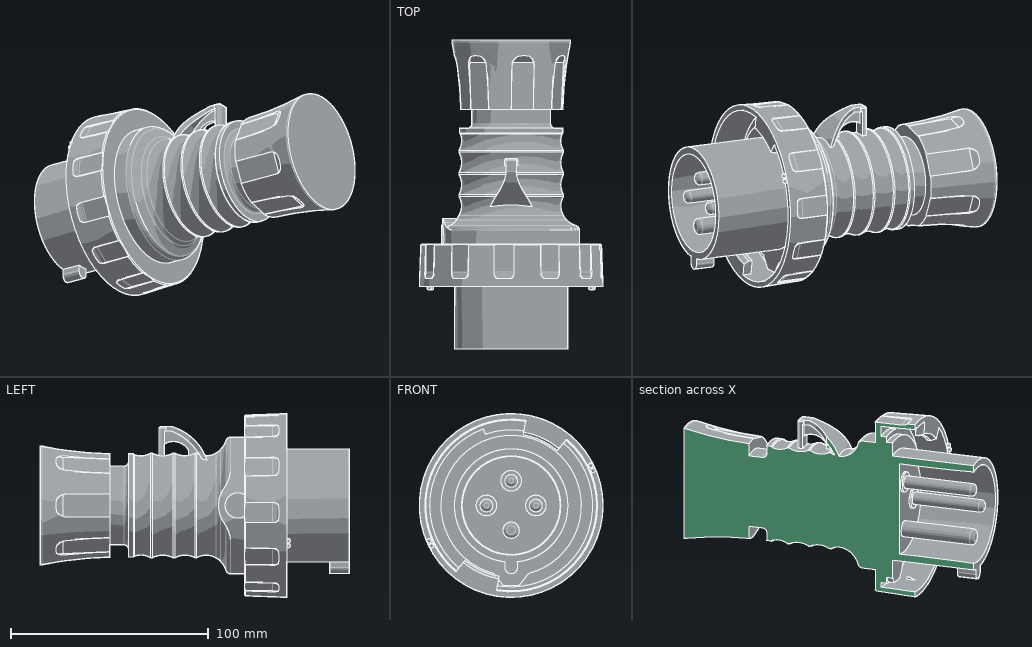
import cadquery as cq
import math

TOTAL_LENGTH = 156.5

FLOOR_Y = 40.0
RING_FRONT_Y = 31.6
RING_BACK_Y = 53.2
FLANGE_BACK_Y = 60.2
GRIP_START_Y = 67.5
COLLAR_BACK_Y = 111.8
NUT_FRONT_Y = 121.2

SLEEVE_R = 28.7
BORE_R = 25.1
BORE_FLOOR_R = 24.8
KEY_WIDTH = 6.4
KEY_TIP_R = 34.5
KEY_LENGTH = 10.0

PIN_CIRCLE_R = 12.5
PHASE_PIN_R = 3.2
EARTH_PIN_R = 4.1
PHASE_TIP_R = 1.2
EARTH_TIP_R = 2.2
PIN_TIP_Y = 1.3
PIN_COLLAR_R = 5.2
PIN_COLLAR_HEIGHT = 1.0

RING_R = 46.54
RING_BACK_R = 45.8
RING_CHAMFER = 0.6
RING_MOUTH_R = 43.7
RING_WALL_R = 43.2
RECESS_FLOOR_Y = 50.0
RING_GROOVES = 12
RING_GROOVE_ANGLE = 4.5
RING_GROOVE_WIDTH = 10.2
RING_GROOVE_DEPTH = 1.2
RING_GROOVE_SETBACK = 3.8
RING_GROOVE_RAMP = 3.6
RING_GROOVE_SAG = 0.3
RING_GROOVE_CORNER = 3.0

LUG_START = 50.0
LUG_END = 80.3
LUG_OVERLAP = 0.5
LUG_R = 37.6
LUG_BACK_R = 36.3
LUG_BEVEL = 2.8
LUG_THICKNESS = 4.5
PIP_ANGLE = 25.0
PIP_CIRCLE_R = 45.1
PIP_R = 1.1
PIP_SPACING = 2.8
PIP_HEIGHT = 1.7

BAYONET_R = 41.2
BAYONET_FRONT_Y = 47.0
NOTCH_R = 38.3
NOTCH_END = 110.0
DISC_R = 35.5
DISC_FRONT_Y = 43.8
TAB_REACH = 40.5
TAB_TIP_HALF = 4.0
TAB_ROOT_HALF = 8.8

FLANGE_R = 34.65
SHOULDER_ROUND = (34.1, 61.6)
SHOULDER_EDGE = (33.0, 62.5)
SHOULDER_SWEEP = (30.4, 63.6)
SHOULDER_FOOT = (28.3, 65.3)
GRIP_BLEND = (27.3, 66.3)
GRIP_START_R = 26.6
VALLEY_R = 25.2
RIB_R = 26.5
RIB_YS = (77.7, 88.8, 100.1)
RIB_TOP = 0.9
COLLAR_R = 26.2
COLLAR_LENGTH = 3.0
COLLAR_BEVEL = 0.5
NECK_R = 20.0
NECK_FILLET = 2.2

LOBE_TIP_Y = 66.2
LOBE_HALF_WIDTH = 17.0
LOBE_SHOULDER = 8.0
LOBE_SHOULDER_Y = 64.0
LOBE_FLARE = 12.0
LOBE_FLARE_Y = 61.6
BADGE_R = 6.4
BADGE_Y = 56.5
BADGE_X = 35.2

HOOK_BACK_Y = 96.4
HOOK_TOP_Z = 40.0
HOOK_TOE_Y = 72.1
HOOK_TOE_Z = 23.1
HOOK_CURVE_START_Y = 90.0
HOOK_CURVE_MIDDLE = (80.0, 34.6)
HOOK_EDGE_BEVEL = 0.7
HOOK_STRAP = 2.4
HOOK_LEG = 2.8
HOOK_HALF_WIDTH = 2.8
HOOK_HEAD_HALF_WIDTH = 3.4
HOOK_HEAD_LENGTH = 3.5
HOOK_HEAD_FILLET = 1.2
HOOK_TOE_HALF_WIDTH = 10.6
HOOK_WEB = 2.0
HOOK_FLANK = [(3.0, 87.0), (5.2, 81.5), (8.6, 76.0), (HOOK_TOE_HALF_WIDTH, HOOK_TOE_Y)]
WINDOW_FRONT_Y = 81.5
WINDOW_FRONT_Z = 28.0
WINDOW_BACK_Z = 31.0
WINDOW_CROWN = (89.0, 32.3)

NUT_FRONT_R = 26.2
NUT_BACK_R = 30.1
NUT_FLARE_MIDDLE = (27.3, 138.0)
NUT_BAND = 1.0
NUT_GROOVE_LIP = 1.0
CUT_MARGIN = 1.0
NUT_GROOVES = 7
NUT_GROOVE_WIDTH = 11.5
NUT_GROOVE_END_Y = 149.0
NUT_GROOVE_RAMP_Y = 145.0
NUT_FLOOR_FRONT_R = 25.3
NUT_FLOOR_BACK_R = 26.6


def revolve_y(profile):
    """Revolve a closed (radius, y) profile about the Y axis."""
    return profile.close().revolve(360, (0, 0, 0), (0, 1, 0))


def disc_y(radius, start, end):
    """Cylinder on the Y axis between two stations."""
    return cq.Workplane("XZ", origin=(0, start, 0)).circle(radius).extrude(start - end)


def turn_y(body, angle):
    """Turn a body about Y so that +X moves toward +Z for positive angles."""
    return body.rotate((0, 0, 0), (0, 1, 0), -angle)


def polar(radius, angle):
    """(x, z) of a point given by its radius and angle from +X toward +Z."""
    return radius * math.cos(math.radians(angle)), radius * math.sin(math.radians(angle))


def sector(inner_r, outer_r, start_angle, end_angle, front, back):
    """Ring segment about Y between two angles and two stations."""
    middle = (start_angle + end_angle) / 2
    sketch = cq.Workplane("XZ", origin=(0, front, 0)).moveTo(*polar(inner_r, start_angle))
    sketch = sketch.lineTo(*polar(outer_r, start_angle))
    sketch = sketch.threePointArc(polar(outer_r, middle), polar(outer_r, end_angle))
    sketch = sketch.lineTo(*polar(inner_r, end_angle))
    sketch = sketch.threePointArc(polar(inner_r, middle), polar(inner_r, start_angle))
    return sketch.close().extrude(front - back)


def housing():
    """Flange, ribbed grip, collar and neck as one revolved body."""
    profile = (
        cq.Workplane("XY")
        .moveTo(0, FLOOR_Y)
        .lineTo(SLEEVE_R, FLOOR_Y)
        .lineTo(SLEEVE_R, RECESS_FLOOR_Y)
        .lineTo(FLANGE_R, RECESS_FLOOR_Y)
        .lineTo(FLANGE_R, FLANGE_BACK_Y)
        .threePointArc(SHOULDER_ROUND, SHOULDER_EDGE)
        .threePointArc(SHOULDER_SWEEP, SHOULDER_FOOT)
        .threePointArc(GRIP_BLEND, (GRIP_START_R, GRIP_START_Y))
    )
    valley_start = GRIP_START_Y
    for rib_y in RIB_YS:
        rib_start = rib_y - RIB_TOP / 2
        rib_end = rib_y + RIB_TOP / 2
        middle = (valley_start + rib_start) / 2
        profile = profile.threePointArc((VALLEY_R, middle), (RIB_R, rib_start))
        profile = profile.lineTo(RIB_R, rib_end)
        valley_start = rib_end
    collar_start = COLLAR_BACK_Y - COLLAR_LENGTH
    middle = (valley_start + collar_start) / 2
    fillet_sag = NECK_FILLET * (1 - math.sqrt(0.5))
    profile = (
        profile.threePointArc((VALLEY_R, middle), (COLLAR_R - COLLAR_BEVEL, collar_start))
        .lineTo(COLLAR_R, collar_start + COLLAR_BEVEL)
        .lineTo(COLLAR_R, COLLAR_BACK_Y)
        .lineTo(NECK_R + NECK_FILLET, COLLAR_BACK_Y)
        .threePointArc(
            (NECK_R + fillet_sag, COLLAR_BACK_Y + fillet_sag),
            (NECK_R, COLLAR_BACK_Y + NECK_FILLET),
        )
        .lineTo(NECK_R, NUT_FRONT_Y)
        .lineTo(0, NUT_FRONT_Y)
    )
    return revolve_y(profile)


def flange_lobe():
    """Bell-shaped rearward extension of the flange at -X with a flat round badge."""
    plan = (
        cq.Workplane("YZ")
        .moveTo(RING_BACK_Y, -LOBE_HALF_WIDTH)
        .lineTo(FLANGE_BACK_Y, -LOBE_HALF_WIDTH)
        .threePointArc((LOBE_FLARE_Y, -LOBE_FLARE), (LOBE_SHOULDER_Y, -LOBE_SHOULDER))
        .threePointArc((LOBE_TIP_Y, 0), (LOBE_SHOULDER_Y, LOBE_SHOULDER))
        .threePointArc((LOBE_FLARE_Y, LOBE_FLARE), (FLANGE_BACK_Y, LOBE_HALF_WIDTH))
        .lineTo(RING_BACK_Y, LOBE_HALF_WIDTH)
        .close()
        .extrude(-BADGE_X)
    )
    lobe = plan.intersect(disc_y(FLANGE_R, RING_BACK_Y, LOBE_TIP_Y))
    badge = cq.Workplane("YZ").center(BADGE_Y, 0).circle(BADGE_R).extrude(-BADGE_X)
    return lobe.union(badge)


def contact_sleeve():
    """Open sleeve with a slightly tapered bore and a round-tipped key at -Z."""
    sleeve = disc_y(SLEEVE_R, 0, RECESS_FLOOR_Y)
    key_tip_center = KEY_TIP_R - KEY_WIDTH / 2
    key = (
        cq.Workplane("XZ")
        .moveTo(-KEY_WIDTH / 2, 0)
        .lineTo(-KEY_WIDTH / 2, -key_tip_center)
        .threePointArc((0, -KEY_TIP_R), (KEY_WIDTH / 2, -key_tip_center))
        .lineTo(KEY_WIDTH / 2, 0)
        .close()
        .extrude(-KEY_LENGTH)
    )
    bore = revolve_y(
        cq.Workplane("XY")
        .moveTo(0, 0)
        .lineTo(BORE_R, 0)
        .lineTo(BORE_FLOOR_R, FLOOR_Y)
        .lineTo(0, FLOOR_Y)
    )
    return sleeve.union(key).cut(bore)


def contact_pin(radius, tip_r):
    """Round-nosed pin along Y."""
    nose = radius - tip_r
    bulge = nose * math.sqrt(0.5)
    return revolve_y(
        cq.Workplane("XY")
        .moveTo(0, PIN_TIP_Y)
        .lineTo(tip_r, PIN_TIP_Y)
        .threePointArc((tip_r + bulge, PIN_TIP_Y + nose - bulge), (radius, PIN_TIP_Y + nose))
        .lineTo(radius, FLOOR_Y)
        .lineTo(0, FLOOR_Y)
    )


def contacts():
    """Three collared phase pins and one larger earth pin at -Z."""
    collar = disc_y(PIN_COLLAR_R, FLOOR_Y - PIN_COLLAR_HEIGHT, FLOOR_Y)
    phase_pin = contact_pin(PHASE_PIN_R, PHASE_TIP_R).union(collar)
    pins = contact_pin(EARTH_PIN_R, EARTH_TIP_R).translate((0, 0, -PIN_CIRCLE_R))
    for angle in (0, 90, 180):
        x, z = polar(PIN_CIRCLE_R, angle)
        pins = pins.union(phase_pin.translate((x, 0, z)))
    return pins


def bayonet_flange():
    """Disc behind the lugs with a shallow rim notch that starts at a lug's end."""
    flange = disc_y(BAYONET_R, BAYONET_FRONT_Y, RECESS_FLOOR_Y)
    notch = sector(NOTCH_R, RING_WALL_R, LUG_END, NOTCH_END, BAYONET_FRONT_Y, RECESS_FLOOR_Y)
    return flange.cut(notch)


def sealing_disc():
    """Disc around the sleeve with a tapered tab at -Z."""
    disc = disc_y(DISC_R, DISC_FRONT_Y, BAYONET_FRONT_Y)
    tab = (
        cq.Workplane("XZ", origin=(0, DISC_FRONT_Y, 0))
        .polyline([
            (-TAB_ROOT_HALF, 0),
            (-TAB_ROOT_HALF, -math.sqrt(DISC_R**2 - TAB_ROOT_HALF**2)),
            (-TAB_TIP_HALF, -TAB_REACH),
            (TAB_TIP_HALF, -TAB_REACH),
            (TAB_ROOT_HALF, -math.sqrt(DISC_R**2 - TAB_ROOT_HALF**2)),
            (TAB_ROOT_HALF, 0),
        ])
        .close()
        .extrude(DISC_FRONT_Y - BAYONET_FRONT_Y)
    )
    return disc.union(tab)


def ring_groove():
    """Cutter for one finger groove at +X, ramping out before the ring front."""
    length = RING_BACK_Y - RING_FRONT_Y
    floor_x = RING_R - RING_GROOVE_DEPTH
    end_y = RING_FRONT_Y + RING_GROOVE_SETBACK
    side = (
        cq.Workplane("XY")
        .moveTo(RING_R + CUT_MARGIN, end_y)
        .lineTo(RING_R, end_y)
        .threePointArc(
            (floor_x + RING_GROOVE_SAG, end_y + RING_GROOVE_RAMP / 2),
            (floor_x, end_y + RING_GROOVE_RAMP),
        )
        .lineTo(floor_x, RING_BACK_Y)
        .lineTo(RING_R + CUT_MARGIN, RING_BACK_Y)
        .close()
        .extrude(RING_GROOVE_WIDTH / 2, both=True)
    )
    plan = (
        cq.Workplane("YZ")
        .center(end_y + length / 2, 0)
        .rect(length, RING_GROOVE_WIDTH)
        .extrude(2 * RING_R)
        .edges("|X and <Y")
        .fillet(RING_GROOVE_CORNER)
    )
    return side.intersect(plan)


def bayonet_lug():
    """Inward lug flush with the ring front; its inner face tapers toward the axis."""
    back_y = RING_FRONT_Y + LUG_THICKNESS
    lug = sector(LUG_BACK_R, RING_MOUTH_R + LUG_OVERLAP, LUG_START, LUG_END, RING_FRONT_Y, back_y)
    relief = revolve_y(
        cq.Workplane("XY")
        .moveTo(0, RING_FRONT_Y)
        .lineTo(LUG_R, RING_FRONT_Y)
        .lineTo(LUG_BACK_R, RING_FRONT_Y + LUG_BEVEL)
        .lineTo(0, RING_FRONT_Y + LUG_BEVEL)
    )
    return lug.cut(relief)


def index_pips():
    """Pair of small round-topped studs on the ring front at PIP_ANGLE."""
    straight = PIP_HEIGHT - PIP_R
    pips = cq.Workplane("XY")
    for side in (-1, 1):
        position = (PIP_CIRCLE_R, RING_FRONT_Y - straight, side * PIP_SPACING / 2)
        stem = cq.Workplane("XZ", origin=position).circle(PIP_R).extrude(-straight)
        pips = pips.union(stem).union(cq.Workplane("XY", origin=position).sphere(PIP_R))
    return turn_y(pips, PIP_ANGLE)


def locking_ring():
    """Bayonet ring with finger grooves, two lugs and two pairs of pips."""
    ring = revolve_y(
        cq.Workplane("XY")
        .moveTo(SLEEVE_R, RECESS_FLOOR_Y)
        .lineTo(RING_WALL_R, RECESS_FLOOR_Y)
        .lineTo(RING_MOUTH_R, RING_FRONT_Y)
        .lineTo(RING_R, RING_FRONT_Y)
        .lineTo(RING_BACK_R, RING_BACK_Y - RING_CHAMFER)
        .lineTo(RING_BACK_R - RING_CHAMFER, RING_BACK_Y)
        .lineTo(SLEEVE_R, RING_BACK_Y)
    )
    groove = ring_groove()
    for index in range(RING_GROOVES):
        ring = ring.cut(turn_y(groove, RING_GROOVE_ANGLE + index * 360 / RING_GROOVES))
    lug = bayonet_lug()
    pips = index_pips()
    for angle in (0, 180):
        ring = ring.union(turn_y(lug, angle)).union(turn_y(pips, angle))
    return ring


def hook_side(inset):
    """Area under the hook's outer curve, offset inward, as a full-width YZ slab."""
    back = HOOK_BACK_Y - (HOOK_LEG if inset else 0)
    middle_y, middle_z = HOOK_CURVE_MIDDLE
    return (
        cq.Workplane("YZ")
        .moveTo(back, 0)
        .lineTo(back, HOOK_TOP_Z - inset)
        .lineTo(HOOK_CURVE_START_Y, HOOK_TOP_Z - inset)
        .threePointArc((middle_y + inset / 2, middle_z - inset), (HOOK_TOE_Y + inset, HOOK_TOE_Z))
        .lineTo(HOOK_TOE_Y + inset, 0)
        .close()
        .extrude(HOOK_TOE_HALF_WIDTH, both=True)
    )


def hook():
    """Strap that widens toward its toe, with a back leg and a pierced web below."""
    head_y = HOOK_BACK_Y - HOOK_HEAD_LENGTH
    mirrored = [(-x, y) for x, y in reversed(HOOK_FLANK)]
    plan = (
        cq.Workplane("XY", origin=(0, 0, HOOK_TOE_Z))
        .moveTo(-HOOK_HEAD_HALF_WIDTH, HOOK_BACK_Y)
        .lineTo(HOOK_HEAD_HALF_WIDTH, HOOK_BACK_Y)
        .lineTo(HOOK_HEAD_HALF_WIDTH, head_y)
        .lineTo(HOOK_HALF_WIDTH, head_y)
        .spline(HOOK_FLANK, includeCurrent=True)
        .lineTo(*mirrored[0])
        .spline(mirrored[1:] + [(-HOOK_HALF_WIDTH, head_y)], includeCurrent=True)
        .lineTo(-HOOK_HEAD_HALF_WIDTH, head_y)
        .close()
        .extrude(HOOK_TOP_Z)
        .edges("|Z and >Y")
        .fillet(HOOK_HEAD_FILLET)
    )
    inner = hook_side(HOOK_STRAP)
    strap = hook_side(0).cut(inner).intersect(plan)
    strap = strap.faces(">Z").edges(">Y").chamfer(HOOK_EDGE_BEVEL)
    window = (
        cq.Workplane("YZ")
        .moveTo(HOOK_BACK_Y - HOOK_LEG, 0)
        .lineTo(HOOK_BACK_Y - HOOK_LEG, WINDOW_BACK_Z)
        .threePointArc(WINDOW_CROWN, (WINDOW_FRONT_Y, WINDOW_FRONT_Z))
        .lineTo(WINDOW_FRONT_Y, 0)
        .close()
        .extrude(HOOK_TOE_HALF_WIDTH, both=True)
    )
    web_zone = cq.Workplane("XY").box(HOOK_WEB, TOTAL_LENGTH, HOOK_TOP_Z, centered=(True, False, False))
    above_root = (
        cq.Workplane("XY", origin=(0, 0, HOOK_TOE_Z))
        .box(2 * RING_R, TOTAL_LENGTH, HOOK_TOP_Z, centered=(True, False, False))
    )
    web = inner.intersect(web_zone).cut(window).intersect(above_root)
    return strap.union(web)


def nut_groove():
    """Cutter for one grip groove at +X, open to the front and scooped out at its end."""
    outside = NUT_BACK_R + CUT_MARGIN
    side = (
        cq.Workplane("XY")
        .moveTo(outside, NUT_FRONT_Y)
        .lineTo(NUT_FLOOR_FRONT_R, NUT_FRONT_Y)
        .lineTo(NUT_FLOOR_BACK_R, NUT_GROOVE_RAMP_Y)
        .lineTo(NUT_BACK_R - NUT_GROOVE_LIP, NUT_GROOVE_END_Y)
        .lineTo(outside, NUT_GROOVE_END_Y)
        .close()
        .extrude(NUT_GROOVE_WIDTH / 2, both=True)
    )
    half = NUT_GROOVE_WIDTH / 2
    plan = (
        cq.Workplane("YZ")
        .moveTo(NUT_FRONT_Y, -half)
        .lineTo(NUT_GROOVE_END_Y - half, -half)
        .threePointArc((NUT_GROOVE_END_Y, 0), (NUT_GROOVE_END_Y - half, half))
        .lineTo(NUT_FRONT_Y, half)
        .close()
        .extrude(outside)
    )
    return side.intersect(plan)


def gland_nut():
    """Flared rear nut with grip grooves."""
    nut = revolve_y(
        cq.Workplane("XY")
        .moveTo(0, NUT_FRONT_Y)
        .lineTo(NUT_FRONT_R, NUT_FRONT_Y)
        .threePointArc(NUT_FLARE_MIDDLE, (NUT_BACK_R, TOTAL_LENGTH - NUT_BAND))
        .lineTo(NUT_BACK_R, TOTAL_LENGTH)
        .lineTo(0, TOTAL_LENGTH)
    )
    groove = nut_groove()
    for index in range(NUT_GROOVES):
        nut = nut.cut(turn_y(groove, 180 + index * 360 / NUT_GROOVES))
    return nut


result = (
    housing()
    .union(flange_lobe())
    .union(contact_sleeve())
    .union(contacts())
    .union(bayonet_flange())
    .union(sealing_disc())
    .union(locking_ring())
    .union(hook())
    .union(gland_nut())
)